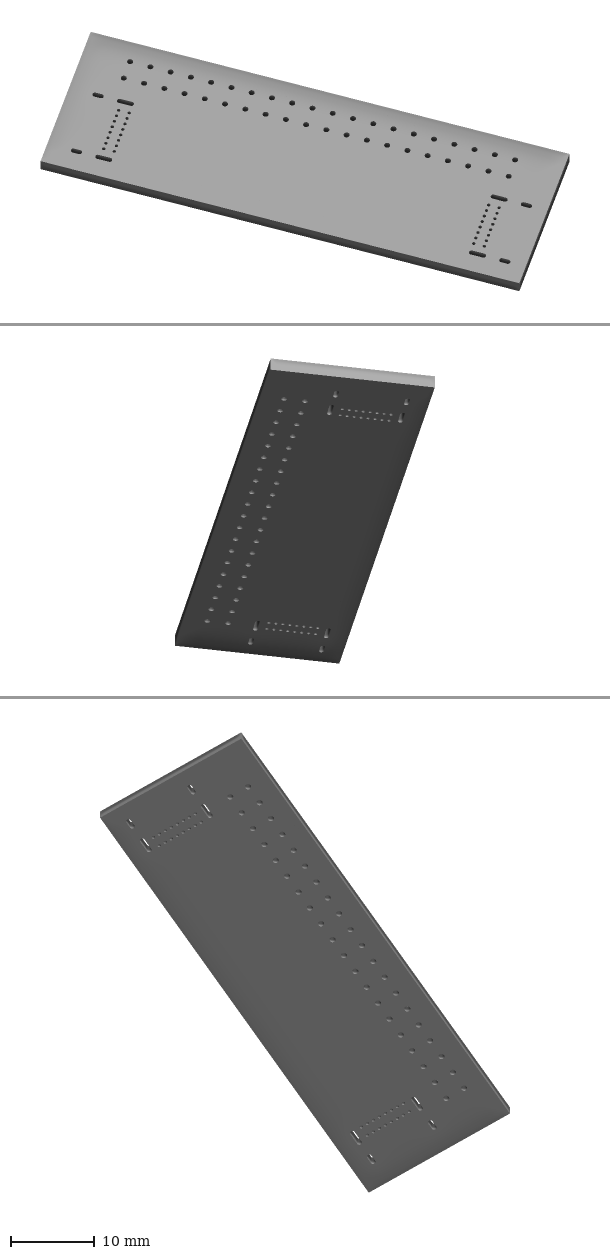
import cadquery as cq

board_length = 60.0
board_width = 20.0
board_thickness = 1.6

header_hole_diameter = 0.7
header_columns = 20
header_rows = 2
header_span = 48.25
header_pitch = header_span / (header_columns - 1)
header_center_x = -0.05
header_center_y = 5.95

left_connector_x = -22.7
left_connector_y = -3.0
right_connector_x = 23.7
right_connector_y = -3.05

contact_hole_diameter = 0.4
contact_columns = 2
contact_rows = 8
contact_column_spacing = 1.3
contact_span = 5.95
contact_pitch = contact_span / (contact_rows - 1)

slot_width = 0.6
inner_slot_length = 2.1
outer_slot_length = 1.4
slot_pair_spacing = 8.65
inner_slot_offset = 0.25
outer_slot_offset = 3.65


def through_tool(profile):
    """Extrude a profile on the mid-plane of the board past both of its faces."""
    return profile.extrude(board_thickness, both=True)


def header_holes():
    pattern = cq.Workplane("XY").center(header_center_x, header_center_y)
    pattern = pattern.rarray(header_pitch, header_pitch, header_columns, header_rows)
    return through_tool(pattern.circle(header_hole_diameter / 2))


def contact_holes(center_x, center_y):
    pattern = cq.Workplane("XY").center(center_x, center_y)
    pattern = pattern.rarray(contact_column_spacing, contact_pitch, contact_columns, contact_rows)
    return through_tool(pattern.circle(contact_hole_diameter / 2))


def slot_pair(center_x, center_y, length):
    pattern = cq.Workplane("XY").center(center_x, center_y)
    pattern = pattern.pushPoints([(0, -slot_pair_spacing / 2), (0, slot_pair_spacing / 2)])
    return through_tool(pattern.slot2D(length, slot_width))


def cut_connector(body, center_x, center_y, outward):
    """Cut one connector footprint; outward is the X sign toward the nearest board end."""
    inner_x = center_x + outward * inner_slot_offset
    outer_x = center_x + outward * outer_slot_offset
    body = body.cut(contact_holes(center_x, center_y))
    body = body.cut(slot_pair(inner_x, center_y, inner_slot_length))
    return body.cut(slot_pair(outer_x, center_y, outer_slot_length))


board = cq.Workplane("XY").box(board_length, board_width, board_thickness)
board = board.cut(header_holes())
board = cut_connector(board, left_connector_x, left_connector_y, -1)
board = cut_connector(board, right_connector_x, right_connector_y, 1)

result = board